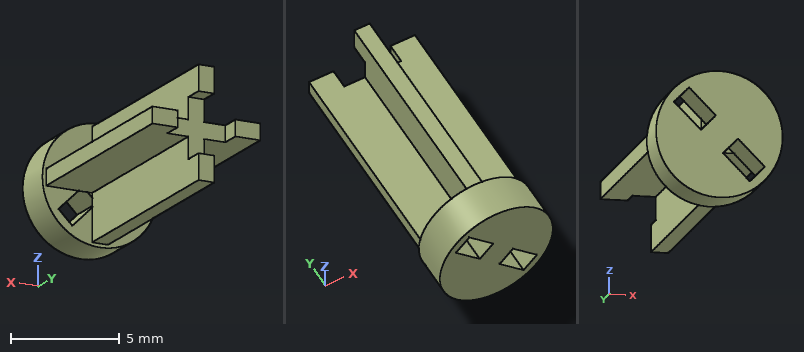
import cadquery as cq

total_length = 12.7
flange_diameter = 6.0
flange_thickness = 2.0
rib_span = 5.61
rib_thickness = 0.83
notch_width = 3.01
notch_depth = 1.02
window_length = 1.79
window_width = 1.0
window_center_radius = 1.64
window_tilt = 135.0

flange_front = -total_length / 2
rib_end = total_length / 2


def make_flange():
    """Round flange, extruded from the front face towards +Y."""
    return (
        cq.Workplane("XZ", origin=(0, flange_front, 0))
        .circle(flange_diameter / 2)
        .extrude(-flange_thickness)
    )


def make_cross():
    """Two flat ribs crossing on the axis, starting at the back of the flange."""
    start = cq.Workplane("XZ", origin=(0, flange_front + flange_thickness, 0))
    rib_length = total_length - flange_thickness
    flat_rib = start.rect(rib_span, rib_thickness).extrude(-rib_length)
    upright_rib = start.rect(rib_thickness, rib_span).extrude(-rib_length)
    return flat_rib.union(upright_rib)


def make_notch():
    """Square recess in the free end of the crossed ribs."""
    return (
        cq.Workplane("XZ", origin=(0, rib_end, 0))
        .rect(notch_width, notch_width)
        .extrude(notch_depth)
    )


def make_windows():
    """Two opposite rectangular windows through the flange only, between the ribs."""
    return (
        cq.Workplane("XZ", origin=(0, flange_front, 0))
        .polarArray(window_center_radius, window_tilt, 360, 2)
        .rect(window_length, window_width)
        .extrude(-flange_thickness)
    )


result = make_flange().union(make_cross()).cut(make_notch()).cut(make_windows())